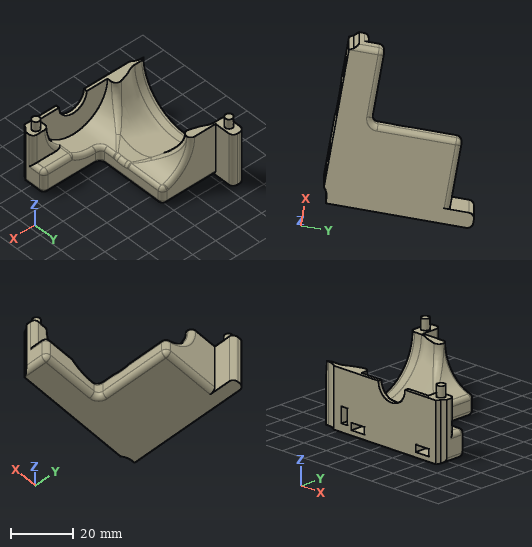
import cadquery as cq
import math

length = 53.0
block_height = 22.0
horn_arm_x = 28.3
horn_arm_y = 41.15
duct_arm_y = 11.45
front_wall = 1.5
round_radius = 2.0
rim_radius = 1.8

ear_width = 5.1
ear_end_y = 49.4
duct_ear_y = 6.4
pin_radius = 1.55
pin_height = 4.05
pin_inset = ear_width / 2
pin_centers = [(pin_inset, 44.8), (49.4, 3.9)]

relief_start_x = 1.05
corner_cut_x = 2.05
corner_cut_y = 2.9
steep_cut_x = 0.7

horn_axis_y = 21.3
horn_mouth_radius = 18.95
horn_mouth_end = ear_width
horn_flank = [(8.7, 17.75), (13.6, 16.05)]
horn_throat_x = 21.7
horn_throat_radius = 14.5
duct_axis_x = 31.05
duct_radius = 15.0
notch_radius = 6.0
shelf_z = 10.0

screw_radius = 1.5
screw_z = 6.0
screw_spacing = 32.0
nut_thickness = 2.6
nut_width = 5.85
side_slot_x = 9.75
base_slot_centers_x = [15.9, 44.7]
base_slot_z = 3.2

screw_front_y = horn_axis_y - screw_spacing / 2
nut_slot_depth = screw_front_y + nut_width / 2
screw_depth = side_slot_x + nut_thickness


def box(x_range, y_range, z_range):
    sizes = [high - low for low, high in (x_range, y_range, z_range)]
    corner = (x_range[0], y_range[0], z_range[0])
    return cq.Workplane("XY").box(*sizes, centered=False).translate(corner)


def centered(middle, size):
    return (middle - size / 2, middle + size / 2)


def y_cylinder(radius, start_y, end_y):
    """Cylinder on the duct axis between two Y positions."""
    plane = cq.Workplane("XZ", origin=(duct_axis_x, start_y, block_height))
    return plane.circle(radius).extrude(start_y - end_y)


def round_edges(body, points, radius):
    """Fillet the edges that pass nearest to the given points."""
    markers = [cq.Vertex.makeVertex(*point) for point in points]
    edges = body.edges().vals()
    chosen = [min(edges, key=marker.distance) for marker in markers]
    return body.newObject(chosen).fillet(radius)


def duct_floor(x):
    """Height of the duct surface at a given X."""
    return block_height - math.sqrt(duct_radius ** 2 - (x - duct_axis_x) ** 2)


def make_block():
    relief_run = ear_width - relief_start_x
    relief_radius = (relief_run ** 2 + front_wall ** 2) / (2 * front_wall)
    block = (
        cq.Workplane("XY")
        .moveTo(0, front_wall)
        .lineTo(relief_start_x, front_wall)
        .radiusArc((ear_width, 0), relief_radius)
        .lineTo(length - corner_cut_x, 0)
        .lineTo(length - corner_cut_x + steep_cut_x, front_wall)
        .lineTo(length, corner_cut_y)
        .lineTo(length, duct_arm_y)
        .lineTo(horn_arm_x, duct_arm_y)
        .lineTo(horn_arm_x, horn_arm_y)
        .lineTo(ear_width, horn_arm_y)
        .lineTo(ear_width, ear_end_y)
        .lineTo(0, ear_end_y)
        .close()
        .extrude(block_height)
    )
    rounded_corners = [
        (0, ear_end_y),
        (ear_width, ear_end_y),
        (horn_arm_x, horn_arm_y),
        (horn_arm_x, duct_arm_y),
        (length, duct_arm_y),
    ]
    upright_edges = [(x, y, block_height / 2) for x, y in rounded_corners]
    block = round_edges(block, upright_edges, round_radius)
    return round_edges(block, [(horn_arm_x, horn_axis_y, 0)], round_radius)


def make_horn():
    """Flared mouth, narrowing to the throat and opening again to the duct radius."""
    profile = (
        cq.Workplane("XY")
        .lineTo(0, horn_mouth_radius + round_radius)
        .radiusArc((round_radius, horn_mouth_radius), -round_radius)
        .lineTo(horn_mouth_end, horn_mouth_radius)
        .spline(
            horn_flank + [(horn_throat_x, horn_throat_radius)],
            tangents=[(1, 0), (1, 0)],
            includeCurrent=True,
        )
        .lineTo(duct_axis_x, duct_radius)
        .lineTo(duct_axis_x, 0)
        .close()
    )
    horn = profile.revolve(360, (0, 0, 0), (1, 0, 0))
    return horn.translate((0, horn_axis_y, block_height))


def cut_cavities(body):
    shelf_space = box((duct_axis_x, length), (duct_ear_y, duct_arm_y), (shelf_z, block_height))
    body = body.cut(shelf_space)
    body = body.cut(y_cylinder(duct_radius, front_wall, ear_end_y))
    body = body.cut(make_horn())
    return body.cut(y_cylinder(notch_radius, 0, front_wall))


def round_cavities(body):
    reach = horn_axis_y - duct_arm_y
    saddle_x = duct_axis_x - reach
    inner_x = (horn_throat_x + horn_arm_x) / 2
    saddle = []
    for side in (-1, 1):
        saddle.append((saddle_x, horn_axis_y + side * reach, duct_floor(saddle_x)))
        saddle.append((inner_x, horn_axis_y + side * (duct_axis_x - inner_x), duct_floor(inner_x)))
    body = round_edges(body, saddle, round_radius)

    shelf_x = duct_axis_x + math.sqrt(duct_radius ** 2 - (block_height - shelf_z) ** 2)
    shelf_y = (duct_ear_y + duct_arm_y) / 2
    ear_x = (shelf_x + duct_axis_x + duct_radius) / 2
    shelf_and_ear = [
        (shelf_x, shelf_y, shelf_z),
        (ear_x, duct_ear_y, duct_floor(ear_x)),
        (length, duct_ear_y, (shelf_z + block_height) / 2),
    ]

    wall_z = duct_floor(horn_arm_x)
    rim = [
        (saddle_x, horn_arm_y, duct_floor(saddle_x)),
        (horn_arm_x, horn_axis_y + reach, wall_z),
        (horn_arm_x, horn_axis_y, block_height - duct_radius),
        (horn_arm_x, (horn_axis_y + duct_arm_y) / 2, wall_z),
        (duct_axis_x + round_radius, duct_arm_y, duct_floor(duct_axis_x + round_radius)),
        ((shelf_x + length) / 2, duct_arm_y, shelf_z),
        (length, shelf_y, shelf_z),
    ]
    return round_edges(body, rim + shelf_and_ear, rim_radius)


def cut_screw_holes(body):
    for y in (screw_front_y, screw_front_y + screw_spacing):
        hole = cq.Workplane("YZ").center(y, screw_z).circle(screw_radius).extrude(screw_depth)
        body = body.cut(hole)
    return body


def cut_nut_slots(body):
    depth = (0, nut_slot_depth)
    body = body.cut(box(centered(side_slot_x, nut_thickness), depth, centered(screw_z, nut_width)))
    for x in base_slot_centers_x:
        body = body.cut(box(centered(x, nut_width), depth, centered(base_slot_z, nut_thickness)))
    return body


def add_pins(body):
    top = cq.Workplane("XY", origin=(0, 0, block_height))
    return body.union(top.pushPoints(pin_centers).circle(pin_radius).extrude(pin_height))


body = make_block()
body = cut_cavities(body)
body = round_cavities(body)
body = cut_screw_holes(body)
body = cut_nut_slots(body)
result = add_pins(body)